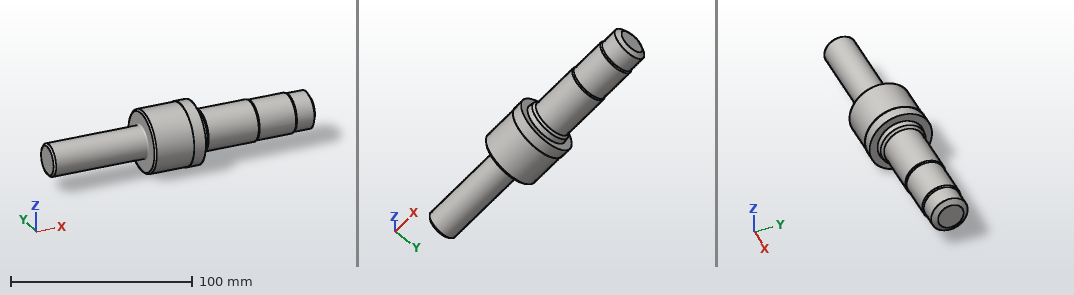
import cadquery as cq
import math

total_length = 158.8

shank_radius = 9.5
shank_chamfer = 1.1
root_fillet = 1.0

collar_start = 57.0
collar_radius = 18.4
collar_chamfer = 1.03

flange_start = 80.6
flange_end = 87.6
flange_radius = 18.7

shoulder_base_radius = 14.0
shoulder_end_radius = 13.5
shoulder_end = 91.0
shoulder_cone_length = 1.5

body_radius = 12.0
body_end = 122.5
seat_radius = 11.6
seat_end = 145.4
tip_radius = 11.0
step_cone_length = 1.0
tip_bevel_length = 1.9
tip_bevel_angle = 60.0

tip_face_radius = tip_radius - tip_bevel_length * math.tan(math.radians(tip_bevel_angle))

fillet_reach = root_fillet * (1 - math.sqrt(0.5))
profile = (
    cq.Workplane("XY")
    .moveTo(0, 0)
    .lineTo(0, shank_radius - shank_chamfer)
    .lineTo(shank_chamfer, shank_radius)
    .lineTo(collar_start - root_fillet, shank_radius)
    .threePointArc(
        (collar_start - fillet_reach, shank_radius + fillet_reach),
        (collar_start, shank_radius + root_fillet),
    )
    .lineTo(collar_start, collar_radius - collar_chamfer)
    .lineTo(collar_start + collar_chamfer, collar_radius)
    .lineTo(flange_start, collar_radius)
    .lineTo(flange_start, flange_radius)
    .lineTo(flange_end, flange_radius)
    .lineTo(flange_end, shoulder_base_radius)
    .lineTo(shoulder_end, shoulder_end_radius)
    .lineTo(shoulder_end + shoulder_cone_length, body_radius)
    .lineTo(body_end, body_radius)
    .lineTo(body_end + step_cone_length, seat_radius)
    .lineTo(seat_end, seat_radius)
    .lineTo(seat_end + step_cone_length, tip_radius)
    .lineTo(total_length - tip_bevel_length, tip_radius)
    .lineTo(total_length, tip_face_radius)
    .lineTo(total_length, 0)
    .close()
)

result = profile.revolve(360, (0, 0, 0), (1, 0, 0))